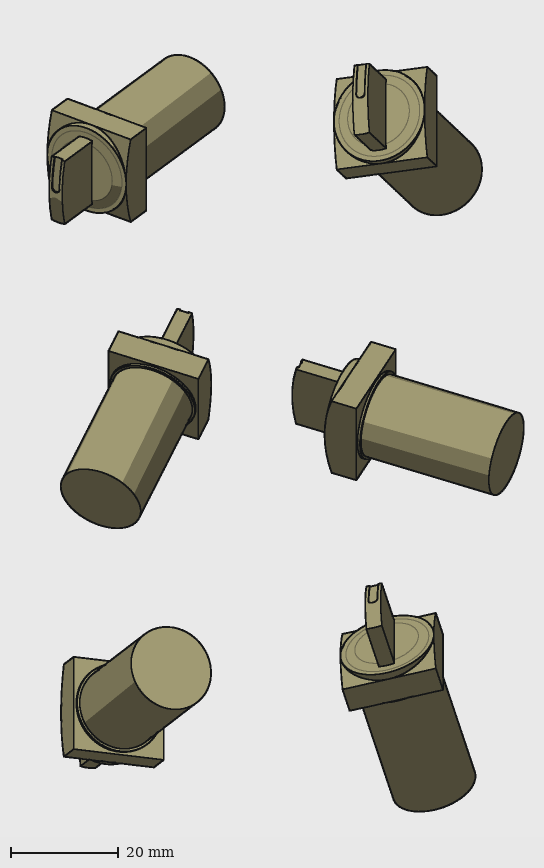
import cadquery as cq


barrel_radius = 8.0
barrel_length = 26.0
collar_radius = 8.5
collar_thickness = 0.5

bezel_size = 18.0
bezel_depth = 6.5
bezel_front_sag = 1.45
boss_radius = bezel_size / 2
cone_base_radius = 8.0
cone_top_radius = 6.13
cone_height = 0.5

knob_radius = 7.0
knob_thickness = 3.0
knob_height = 9.5
knob_end_sag = 0.85

groove_width = 1.7
groove_depth = 0.25

bezel_front = -bezel_depth
cone_front = bezel_front - cone_height
knob_tip = cone_front - knob_height


def arc_radius(half_chord, sag):
    """Radius of an arc from its half chord and sagitta."""
    return (half_chord**2 + sag**2) / (2 * sag)


def disc(radius, y_front, y_back):
    """Cylinder on the Y axis between two planes."""
    plane = cq.Workplane("XZ", origin=(0, y_back, 0))
    return plane.circle(radius).extrude(y_back - y_front)


def make_barrel():
    barrel_back = collar_thickness + barrel_length
    barrel = disc(barrel_radius, 0, barrel_back)
    return barrel.union(disc(collar_radius, 0, collar_thickness))


def make_bezel():
    half = bezel_size / 2
    shoulder = bezel_front + bezel_front_sag
    block = (
        cq.Workplane("YZ")
        .moveTo(0, -half)
        .lineTo(shoulder, -half)
        .threePointArc((bezel_front, 0), (shoulder, half))
        .lineTo(0, half)
        .close()
        .extrude(half, both=True)
    )
    boss = disc(boss_radius, bezel_front, 0)
    cone = (
        cq.Workplane("XY")
        .moveTo(0, bezel_front)
        .lineTo(cone_base_radius, bezel_front)
        .lineTo(cone_top_radius, cone_front)
        .lineTo(0, cone_front)
        .close()
        .revolve(360, (0, 0, 0), (0, 1, 0))
    )
    return block.union(boss).union(cone)


def make_groove_slot():
    """Slot with a round end at the axis, open at the top of the knob."""
    half = groove_width / 2
    slot_depth = knob_end_sag + groove_depth
    return (
        cq.Workplane("XZ", origin=(0, knob_tip + slot_depth, 0))
        .moveTo(-half, knob_radius)
        .lineTo(-half, half)
        .threePointArc((0, 0), (half, half))
        .lineTo(half, knob_radius)
        .close()
        .extrude(slot_depth)
    )


def make_knob():
    end_radius = arc_radius(knob_radius, knob_end_sag)
    end_center = (0, knob_tip + end_radius, 0)
    end_sphere = cq.Workplane("XY").sphere(end_radius).translate(end_center)
    groove_floor = cq.Workplane("XY").sphere(end_radius - groove_depth).translate(end_center)

    blade_length = bezel_front - knob_tip
    blade = disc(knob_radius, knob_tip, bezel_front).intersect(
        cq.Workplane("XZ", origin=(0, bezel_front, 0))
        .rect(knob_thickness, 2 * knob_radius)
        .extrude(blade_length)
    )
    blade = blade.intersect(end_sphere)
    return blade.cut(make_groove_slot().cut(groove_floor))


result = make_barrel().union(make_bezel()).union(make_knob())